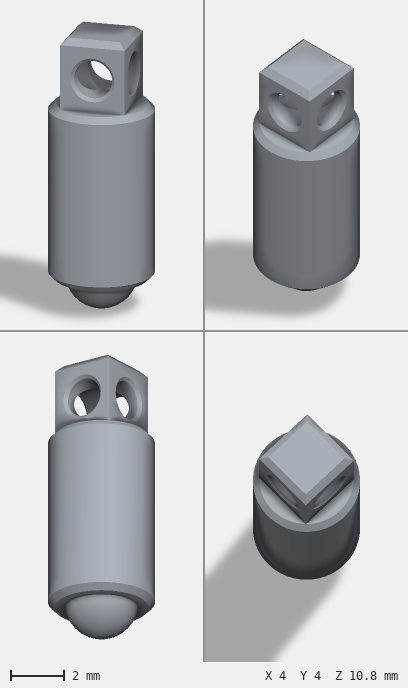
import cadquery as cq

total_height = 10.79
body_diameter = 4.0
body_height = 6.85
body_chamfer = 0.24

ball_diameter = 2.75
ball_exposure = 1.17

head_width = 2.5
head_chamfer = 0.25
hole_diameter = 1.47
hole_chamfer = 0.12
hole_depth_from_top = 1.52

ball_radius = ball_diameter / 2
body_bottom = ball_exposure
body_top = body_bottom + body_height
head_height = total_height - body_top
hole_height = total_height - hole_depth_from_top


def make_ball():
    """Full ball whose lowest point is at Z = 0."""
    return cq.Workplane("XY").sphere(ball_radius).translate((0, 0, ball_radius))


def make_barrel():
    """Round barrel, chamfered at both ends."""
    return (
        cq.Workplane("XY", origin=(0, 0, body_bottom))
        .circle(body_diameter / 2)
        .extrude(body_height)
        .faces("<Z or >Z")
        .chamfer(body_chamfer)
    )


def make_hole_cutter():
    """Through hole along Y, widened by a countersink at each side of the head."""
    half_width = head_width / 2
    bore_radius = hole_diameter / 2
    mouth_radius = bore_radius + hole_chamfer
    countersink_start = half_width - hole_chamfer
    return (
        cq.Workplane("XY")
        .moveTo(0, -half_width)
        .lineTo(mouth_radius, -half_width)
        .lineTo(bore_radius, -countersink_start)
        .lineTo(bore_radius, countersink_start)
        .lineTo(mouth_radius, half_width)
        .lineTo(0, half_width)
        .close()
        .revolve(360, (0, 0, 0), (0, 1, 0))
        .translate((0, 0, hole_height))
    )


def make_head():
    """Square head with a chamfered top and holes crossing along X and Y."""
    head = (
        cq.Workplane("XY", origin=(0, 0, body_top))
        .rect(head_width, head_width)
        .extrude(head_height)
        .faces(">Z")
        .chamfer(head_chamfer)
    )
    hole_along_y = make_hole_cutter()
    hole_along_x = hole_along_y.rotate((0, 0, 0), (0, 0, 1), 90)
    return head.cut(hole_along_y).cut(hole_along_x)


def make_housing(ball):
    """Barrel and head in one piece, with a spherical seat around the ball."""
    return make_barrel().union(make_head()).cut(ball).solids()


ball = make_ball()
housing = make_housing(ball)

result = cq.Compound.makeCompound([housing.val(), ball.val()])